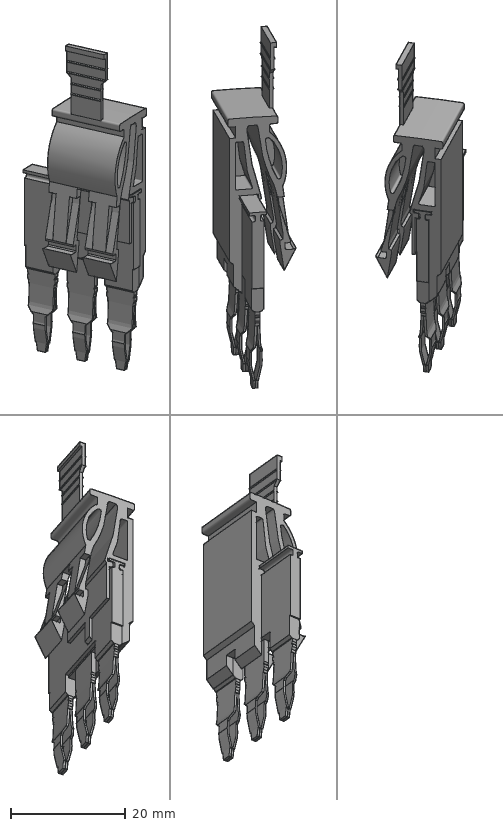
import cadquery as cq


edge_margin = 0.05

pin_pitch = 8.1
pin_centres = [-1.5 * pin_pitch, -0.5 * pin_pitch, 0.5 * pin_pitch]
middle_pin = pin_centres[1]

plate_width = 5.7
plate_half_width = plate_width / 2
plate_half_thickness = 0.46
barb_levels = [14.5, 13.4]
barb_height = 0.5
barb_depth = 0.215
shoulder_z = 12.4
prong_root_half_width = 2.5
prong_half_width = 1.2
prong_half_spread = 2.25 / 2
prong_thickness = 0.35
prong_narrow_start_z = 8.25
prong_narrow_end_z = 6.95
tip_top_z = 1.6
tip_half_width = 1.05
tip_end_half_width = 0.8
prong_outer_side = [
    (plate_half_thickness, shoulder_z),
    (0.6, 8.95),
    (0.75, 8.35),
    (prong_half_spread, 7.45),
    (prong_half_spread, 5.7),
    (1.2, 5.35),
    (prong_half_spread, 5.05),
    (prong_half_spread, 4.45),
    (0.55, 1.9),
    (plate_half_thickness, tip_top_z),
    (plate_half_thickness, 0),
]
prong_gap_side = [
    (0.03, 0),
    (0.03, tip_top_z),
    (0.15, 1.9),
    (prong_half_spread - prong_thickness, 4.45),
    (prong_half_spread - prong_thickness, 7.45),
    (0.335, 8.35),
    (0.215, 8.95),
    (0.09, 10.7),
]

carrier_length = 22.4
carrier_top_z = 33.9
carrier_cap_bottom_z = 33.4
carrier_cap_half_width = 3.1 / 2
carrier_neck_half_width = 0.46
carrier_neck_fillet = 0.3
carrier_shoulder_z = 32.2
rail_root_depth = 0.6
carrier_half_thickness = 1.1
carrier_bottom_z = 19.6
rear_lip_bottom_z = 19.1
leg_bottom_z = 15.1
leg_chamfer = 0.5
leg_width = plate_width

housing_width = 13.85
overall_depth = 12.2
plate_rear_y = 3.6
plate_front_y = -5.35
plate_top_z = 48.5
plate_crest_y = -0.75
plate_front_top_z = 48.4
plate_bottom_z = 47.0
plate_fillet = 0.35
stem_top_z = 47.9
stem_rear_y = 2.2
stem_front_y = -3.85
grip_top_z = 45.5
grip_bottom_z = 35.1
stem_corner_fillet = 0.3
rear_wall_y = 3.3
rear_wall_top_z = 44.85
rear_wall_bottom_z = 21.7
rear_foot_y = 2.55
rear_foot_top_z = 21.0
rear_foot_bevel_z = 16.95
rear_foot_bottom_z = 15.55
front_wall_inner_y = -1.45
front_wall_outer_y = -2.0
front_wall_bottom_z = 24.8
tongue_half_width = 0.8
tongue_bottom_z = 19.95
tongue_bevel_z = 20.5
rail_slot_front_y = -1.8
neck_slot_front_y = -0.8
hook_tip_y = plate_rear_y - overall_depth
hook_tip_z = 23.3
hook_ledge_z = 23.1
hook_neck_y = -6.65
arm_bottom_z = 24.4
arm_foot_y = -7.6
arm_foot_z = 24.8
arm_foot_setback = 0.09
slot_half_width = 1.2
slot_top_z = 34.85
slot_depth_y = -4.3
arm_rib_half_width = 2.75 / 2
recess_top_z = 33.1
side_web = 1.0

tab_head_half_width = 3.95
tab_neck_half_width = 3.05
tab_head_bottom_z = 55.95
tab_neck_top_z = 55.05
tab_root_z = 47.9
tab_top_z = 61
tab_lip_bottom_z = 60.1
tab_lip_front_y = -5.75
tab_rear_y = -4.65
tab_front_y = -5.3
ridge_levels = [58.0, 55.95, 54.0, 52.05]
ridge_height = 0.15
ridge_half_width = 0.2


def extrude_section(section, width):
    """Extrude a closed Y-Z section along X, symmetric about X = 0."""
    return section.extrude(width / 2, both=True)


def block(x_range, y_range, z_range):
    """Box between two values on each axis."""
    lengths = [high - low for low, high in (x_range, y_range, z_range)]
    corner = (x_range[0], y_range[0], z_range[0])
    return cq.Workplane("XY").box(*lengths, centered=False).translate(corner)


def mirrored_outline(plane, half_outline, half_depth):
    """Extrude an outline given by its positive half, symmetric about the plane's vertical axis."""
    other_half = [(-across, z) for across, z in reversed(half_outline)]
    return cq.Workplane(plane).polyline(half_outline + other_half).close().extrude(half_depth, both=True)


def make_pin(centre_x, top_z):
    """Barbed plate that runs down into two sprung prongs, a hair apart at the tip."""
    front_half = [(plate_half_width, top_z)]
    for level in barb_levels:
        front_half += [
            (plate_half_width, level),
            (plate_half_width - barb_depth, level - barb_height),
        ]
        if level != barb_levels[-1]:
            front_half.append((plate_half_width, level - barb_height))
    front_half += [
        (plate_half_width - barb_depth, shoulder_z),
        (prong_root_half_width, shoulder_z),
        (prong_root_half_width, prong_narrow_start_z),
        (prong_half_width, prong_narrow_end_z),
        (prong_half_width, tip_top_z),
        (tip_half_width, tip_top_z),
        (tip_end_half_width, 0),
    ]
    front_shape = mirrored_outline("XZ", front_half, carrier_length)

    side_half = [(plate_half_thickness, top_z)] + prong_outer_side
    side_shape = mirrored_outline("YZ", side_half, plate_half_width)
    gap_half = prong_gap_side + [(0, shoulder_z)]
    gap_other_half = [(-y, z) for y, z in reversed(prong_gap_side)]
    gap_section = cq.Workplane("YZ").polyline(gap_half + gap_other_half).close()
    gap = extrude_section(gap_section, leg_width)
    return side_shape.cut(gap).intersect(front_shape).translate((centre_x, 0, 0))


def make_rail(width, centre_x):
    """Cap and filleted neck of the carrier, which slide into the housing."""
    half = [
        (carrier_half_thickness, carrier_shoulder_z - rail_root_depth),
        (carrier_half_thickness, carrier_shoulder_z),
        (carrier_neck_half_width, carrier_shoulder_z),
        (carrier_neck_half_width, carrier_cap_bottom_z),
        (carrier_cap_half_width, carrier_cap_bottom_z),
        (carrier_cap_half_width, carrier_top_z),
    ]
    rail = mirrored_outline("YZ", half, width / 2)
    neck = cq.selectors.BoxSelector(
        (-width, -carrier_neck_half_width - edge_margin, carrier_shoulder_z - edge_margin),
        (width, carrier_neck_half_width + edge_margin, carrier_cap_bottom_z + edge_margin),
    )
    return rail.edges("|X").edges(neck).fillet(carrier_neck_fillet).translate((centre_x, 0, 0))


def make_leg(centre_x):
    """Leg of the carrier above an outer pin."""
    half = [
        (carrier_half_thickness, carrier_bottom_z),
        (carrier_half_thickness, leg_bottom_z + leg_chamfer),
        (carrier_half_thickness - leg_chamfer, leg_bottom_z),
    ]
    return mirrored_outline("YZ", half, leg_width / 2).translate((centre_x, 0, 0))


def make_carrier():
    x_range = (middle_pin - carrier_length / 2, middle_pin + carrier_length / 2)
    y_range = (-carrier_half_thickness, carrier_half_thickness)
    carrier = make_rail(carrier_length, middle_pin)
    carrier = carrier.union(block(x_range, y_range, (carrier_bottom_z, carrier_shoulder_z)))
    rear_lip = block(
        (pin_centres[0], pin_centres[2]),
        (-plate_half_thickness, carrier_half_thickness),
        (rear_lip_bottom_z, carrier_bottom_z),
    )
    carrier = carrier.union(rear_lip)
    for centre_x in (pin_centres[0], pin_centres[2]):
        carrier = carrier.union(make_leg(centre_x))
    return carrier


def make_housing_body():
    """Rear wall, front wall, sprung slot and latch arm as one section."""
    section = (
        cq.Workplane("YZ")
        .moveTo(stem_rear_y, stem_top_z)
        .lineTo(stem_rear_y, rear_wall_top_z)
        .lineTo(rear_wall_y, rear_wall_top_z)
        .lineTo(rear_wall_y, rear_wall_bottom_z)
        .lineTo(rear_foot_y, rear_foot_top_z)
        .lineTo(rear_foot_y, rear_foot_bevel_z)
        .lineTo(carrier_half_thickness, rear_foot_bottom_z)
        .lineTo(carrier_half_thickness, carrier_shoulder_z)
        .lineTo(front_wall_inner_y, carrier_shoulder_z)
        .lineTo(front_wall_inner_y, tongue_bottom_z)
        .lineTo(front_wall_outer_y, tongue_bevel_z)
        .lineTo(front_wall_outer_y, 32.8)
        .lineTo(-2.45, 33.2)
        .threePointArc((-1.6, 36.5), (-0.75, 39.65))
        .lineTo(0.2, 46.25)
        .threePointArc((-0.85, 47.2), (-1.8, 46.25))
        .lineTo(-2.6, 41.05)
        .threePointArc((-3.5, 38.2), (-4.65, 35.5))
        .lineTo(-5.1, 33.75)
        .lineTo(-6.3, 26.0)
        .lineTo(-6.2, 25.2)
        .lineTo(-5.75, 24.95)
        .lineTo(-5.75, 24.15)
        .lineTo(-6.45, 19.2)
        .lineTo(hook_tip_y, hook_tip_z)
        .lineTo(-8.2, hook_ledge_z)
        .lineTo(-6.85, hook_ledge_z)
        .lineTo(hook_neck_y, 23.35)
        .lineTo(hook_neck_y, arm_bottom_z)
        .lineTo(arm_foot_y + arm_foot_setback, arm_bottom_z)
        .lineTo(arm_foot_y, arm_foot_z)
        .lineTo(-6.2, grip_bottom_z)
        .threePointArc((-6.3, 42.0), (stem_front_y, grip_top_z))
        .lineTo(stem_front_y, stem_top_z)
        .close()
    )
    return extrude_section(section, housing_width)


def make_top_plate():
    section = cq.Workplane("YZ").polyline(
        [
            (plate_rear_y, plate_bottom_z),
            (plate_rear_y, plate_top_z),
            (plate_crest_y, plate_top_z),
            (plate_front_y, plate_front_top_z),
            (plate_front_y, plate_bottom_z),
        ]
    )
    plate = extrude_section(section.close(), housing_width)
    rounded_edges = plate.edges("|X").edges("<Y or >Y")
    return plate.newObject(rounded_edges.vals()).fillet(plate_fillet)


def make_rail_slot():
    """Slot that takes the carrier's rail, with play on the front side."""
    half_width = housing_width / 2
    x_range = (-half_width, half_width)
    cap_play = block(x_range, (rail_slot_front_y, 0), (carrier_cap_bottom_z, carrier_top_z))
    neck_play = block(x_range, (neck_slot_front_y, 0), (carrier_shoulder_z, carrier_cap_bottom_z))
    return make_rail(housing_width, 0).union(cap_play).union(neck_play)


def make_side_pocket_pair(section):
    """Pockets of one section sunk from both sides, leaving a middle web."""
    full = extrude_section(section, housing_width)
    web = block((-side_web / 2, side_web / 2), (hook_tip_y, plate_rear_y), (0, plate_top_z))
    return full.cut(web)


def rear_pocket_section():
    return (
        cq.Workplane("YZ")
        .moveTo(1.9, 44.05)
        .lineTo(1.05, 44.05)
        .threePointArc((0.85, 43.9), (0.75, 43.7))
        .lineTo(0.1, 38.4)
        .lineTo(-0.75, 35.5)
        .threePointArc((-0.75, 35.2), (-0.5, 35.1))
        .lineTo(1.9, 35.1)
        .threePointArc((2.15, 35.15), (2.2, 35.4))
        .lineTo(2.2, 43.75)
        .threePointArc((2.15, 44.0), (1.9, 44.05))
        .close()
    )


def grip_pocket_section():
    return (
        cq.Workplane("YZ")
        .moveTo(-3.1, 44.05)
        .threePointArc((-3.85, 40.15), (-5.2, 36.85))
        .threePointArc((-5.6, 36.55), (-5.9, 36.85))
        .threePointArc((-5.8, 41.0), (-3.85, 44.3))
        .threePointArc((-3.4, 44.4), (-3.1, 44.05))
        .close()
    )


def make_arm_recesses():
    """Wedge recesses on both sides of the rib of each latch arm."""
    section = cq.Workplane("YZ").polyline(
        [
            (hook_tip_y, recess_top_z),
            (-5.35, recess_top_z),
            (-5.55, 31.7),
            (arm_foot_y, arm_foot_z),
            (hook_tip_y, arm_foot_z),
        ]
    )
    recesses = extrude_section(section.close(), housing_width)
    for centre_x in pin_centres[1:]:
        rib = block(
            (centre_x - arm_rib_half_width, centre_x + arm_rib_half_width),
            (hook_tip_y, 0),
            (arm_bottom_z, slot_top_z),
        )
        recesses = recesses.cut(rib)
    return recesses


def make_arm_slot():
    return block((-slot_half_width, slot_half_width), (hook_tip_y, slot_depth_y), (0, slot_top_z))


def make_foot_slot():
    """Gap between the two feet of the rear wall."""
    return block((-slot_half_width, slot_half_width), (0, plate_rear_y), (0, rear_lip_bottom_z))


def make_tongue_cuts():
    """Cut the front wall short on both sides of its middle tongue."""
    half_width = housing_width / 2
    y_range = (front_wall_outer_y, front_wall_inner_y)
    z_range = (0, front_wall_bottom_z)
    left = block((-half_width, -tongue_half_width), y_range, z_range)
    return left.union(left.mirror("YZ"))


def make_pull_tab():
    """Flat tab with a lip on top and small grip ridges on both faces."""
    side = [
        (tab_rear_y, tab_root_z),
        (tab_front_y, tab_root_z),
    ]
    for level in reversed(ridge_levels):
        side += [
            (tab_front_y, level - ridge_half_width),
            (tab_front_y - ridge_height, level),
            (tab_front_y, level + ridge_half_width),
        ]
    side += [
        (tab_front_y, tab_lip_bottom_z),
        (tab_lip_front_y, tab_lip_bottom_z),
        (tab_lip_front_y, tab_top_z),
        (tab_rear_y, tab_top_z),
    ]
    for level in ridge_levels:
        side += [
            (tab_rear_y, level + ridge_half_width),
            (tab_rear_y + ridge_height, level),
            (tab_rear_y, level - ridge_half_width),
        ]
    tab = extrude_section(cq.Workplane("YZ").polyline(side).close(), 2 * tab_head_half_width)
    front_half = [
        (tab_neck_half_width, tab_root_z),
        (tab_neck_half_width, tab_neck_top_z),
        (tab_head_half_width, tab_head_bottom_z),
        (tab_head_half_width, tab_top_z),
    ]
    return tab.intersect(mirrored_outline("XZ", front_half, carrier_length))


def make_housing():
    housing = make_housing_body().union(make_top_plate())
    under_plate = cq.selectors.BoxSelector(
        (-housing_width, stem_front_y - edge_margin, plate_bottom_z - edge_margin),
        (housing_width, stem_front_y + edge_margin, plate_bottom_z + edge_margin),
    )
    housing = housing.edges("|X").edges(under_plate).fillet(stem_corner_fillet)
    housing = housing.cut(make_rail_slot())
    housing = housing.cut(make_side_pocket_pair(rear_pocket_section()))
    housing = housing.cut(make_side_pocket_pair(grip_pocket_section()))
    housing = housing.cut(make_arm_recesses())
    housing = housing.cut(make_arm_slot())
    housing = housing.cut(make_foot_slot())
    housing = housing.cut(make_tongue_cuts())
    return housing.union(make_pull_tab())


pin_tops = [leg_bottom_z, rear_lip_bottom_z, leg_bottom_z]
pins = [make_pin(centre_x, top_z) for centre_x, top_z in zip(pin_centres, pin_tops)]
carrier = make_carrier()
housing = make_housing()

result = cq.Compound.makeCompound(
    [body.solids().val() for body in [housing, carrier, *pins]]
)